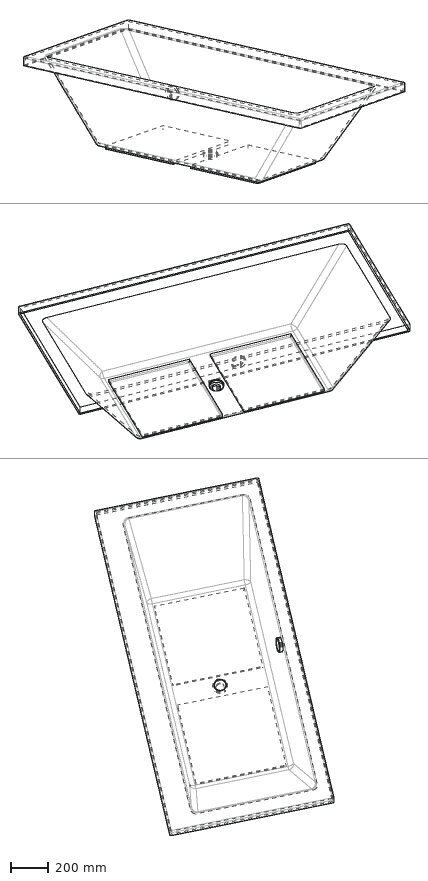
import cadquery as cq
import math

rim_length = 1900.0
rim_width = 900.0
rim_height = 51.0
edge_round = 10.0
lip_round = 8.0

basin_length = 1733.0
basin_width = 678.0
basin_center_y = -32.0
basin_depth = 450.0
end_lean = 35.0
side_lean = 7.4
basin_round = 30.0
wall = 10.0

board_span = 1045.0
board_width = 492.0
board_gap = 120.0
board_height = 19.0
board_round = 5.0

waste_diameter = 66.0
flange_diameter = 80.0
flange_height = 5.0
cup_diameter = 75.0
tail_diameter = 44.0
plug_diameter = 60.0
plug_thickness = 10.0
dome_height = 5.0
overall_height = 488.0
tail_length = 11.0

rosette_diameter = 80.0
rosette_thickness = 15.0
rosette_face_diameter = 75.0
rosette_face_height = 4.0
spigot_diameter = 25.0
outlet_diameter = 15.0
overflow_z = -50.0

end_slope = math.tan(math.radians(end_lean))
side_slope = math.tan(math.radians(side_lean))
end_offset = wall / math.cos(math.radians(end_lean))
side_offset = wall / math.cos(math.radians(side_lean))
floor_top = -basin_depth
floor_bottom = floor_top - wall
board_bottom = floor_bottom - board_height
tail_bottom = -overall_height
waste_bottom = tail_bottom + tail_length


def box(length, width, top, bottom, x=0, y=0):
    """Upright block between two heights, centred on (x, y)."""
    height = top - bottom
    return cq.Workplane("XY", origin=(x, y, bottom)).box(length, width, height, centered=(True, True, False))


def cylinder(diameter, top, bottom):
    """Upright cylinder on the axis of the waste."""
    base = cq.Workplane("XY", origin=(0, basin_center_y, bottom))
    return base.circle(diameter / 2).extrude(top - bottom)


def tapered_basin(length, width, depth):
    """Basin-shaped solid below Z = 0 with leaning walls and rounded corners and floor edges."""
    floor_length = length - 2 * depth * end_slope
    floor_width = width - 2 * depth * side_slope
    top = cq.Workplane("XY", origin=(0, basin_center_y, 0)).rect(length, width)
    solid = top.workplane(offset=-depth).rect(floor_length, floor_width).loft(ruled=True)
    return solid.edges("not >Z").fillet(basin_round)


inner_basin = tapered_basin(basin_length, basin_width, basin_depth)
outer_basin = tapered_basin(basin_length + 2 * end_offset, basin_width + 2 * side_offset, basin_depth + wall)


def rim():
    """Rim with rounded corners and top edge, open underneath behind its skirt."""
    block = box(rim_length, rim_width, 0, -rim_height)
    block = block.edges("|Z or >Z").fillet(edge_round)
    underside = box(rim_length - 2 * wall, rim_width - 2 * wall, -wall, -rim_height)
    return block.cut(underside)


def base_boards():
    """Two boards side by side with rounded lower edges, let into the floor."""
    board_length = (board_span - board_gap) / 2
    board_x = (board_span + board_gap) / 4
    floor_middle = (floor_top + floor_bottom) / 2
    boards = []
    for side in (-1, 1):
        board = box(board_length, board_width, floor_middle, board_bottom, side * board_x, basin_center_y)
        boards.append(board.faces("<Z").edges().fillet(board_round))
    return boards


def make_tub():
    """Hollow shell with a rounded lip, base boards and holes for the waste and the overflow."""
    shell = rim().union(outer_basin)
    for board in base_boards():
        shell = shell.union(board)
    shell = shell.cut(inner_basin)
    lip = cq.selectors.BoxSelector(
        (-basin_length / 2 - wall, basin_center_y - basin_width / 2 - wall, -wall / 2),
        (basin_length / 2 + wall, basin_center_y + basin_width / 2 + wall, wall / 2),
    )
    shell = shell.faces(">Z").edges(lip).fillet(lip_round)
    return shell.cut(cylinder(waste_diameter, floor_top, floor_bottom)).cut(overflow_spigot())


def make_waste():
    """Collar in the floor, flange and cup under it, a tail, and a seat for the plug."""
    collar = cylinder(waste_diameter, floor_top, floor_bottom)
    flange = cylinder(flange_diameter, floor_bottom, floor_bottom - flange_height)
    cup = cylinder(cup_diameter, floor_bottom - flange_height, waste_bottom)
    tail = cylinder(tail_diameter, waste_bottom, tail_bottom)
    seat = cylinder(plug_diameter, floor_top, floor_top - plug_thickness)
    return collar.union(flange).union(cup).union(tail).cut(seat)


def make_plug():
    """Plug sunk into the waste, its top a shallow dome above the floor."""
    radius = plug_diameter / 2
    dome_radius = (radius**2 + dome_height**2) / (2 * dome_height)
    half_dome = math.asin(radius / dome_radius) / 2
    dome_center = dome_height - dome_radius
    dome_middle = (dome_radius * math.sin(half_dome), dome_center + dome_radius * math.cos(half_dome))
    profile = (
        cq.Workplane("XZ", origin=(0, basin_center_y, floor_top))
        .moveTo(0, -plug_thickness)
        .lineTo(radius, -plug_thickness)
        .lineTo(radius, 0)
        .threePointArc(dome_middle, (0, dome_height))
        .close()
    )
    return profile.revolve(360, (0, 0, 0), (0, 1, 0))


def overflow_plane():
    """Plane on the inside of the front wall, its normal pointing into the basin."""
    wall_y = basin_center_y - basin_width / 2 - overflow_z * side_slope
    lean = math.radians(side_lean)
    normal = (0, math.cos(lean), math.sin(lean))
    return cq.Workplane(cq.Plane(origin=(0, wall_y, overflow_z), xDir=(-1, 0, 0), normal=normal))


def overflow_spigot():
    """Round spigot that fills the hole through the front wall."""
    return overflow_plane().circle(spigot_diameter / 2).extrude(-wall)


def make_overflow():
    """Stepped rosette on the wall and a spigot with a blind outlet bore."""
    rosette = overflow_plane().circle(rosette_diameter / 2).extrude(rosette_thickness)
    rosette = rosette.faces(">Y").workplane().circle(rosette_face_diameter / 2).extrude(rosette_face_height)
    outlet = overflow_plane().circle(outlet_diameter / 2).extrude(-wall)
    return rosette.union(overflow_spigot()).cut(outlet)


tub = make_tub()
waste = make_waste()
plug = make_plug()
overflow = make_overflow()

result = cq.Compound.makeCompound([tub.val(), waste.val(), plug.val(), overflow.val()])